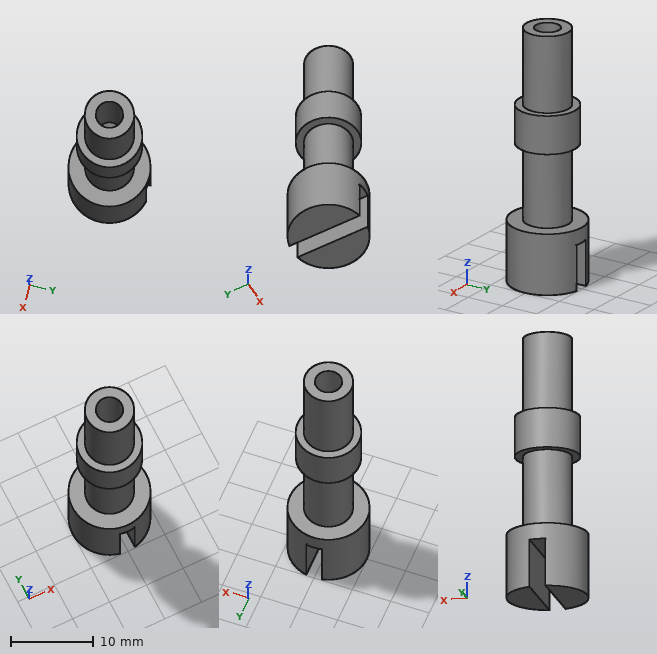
import cadquery as cq
import math

total_height = 33.0
head_diameter = 10.0
head_height = 8.0
shank_diameter = 6.0
collar_diameter = 8.0
collar_bottom = 18.0
collar_height = 5.0

slot_width = 2.0
slot_depth = 6.0

hole_diameter = 3.3
hole_depth = total_height - collar_bottom - collar_height
drill_point_angle = 118.0


def cylinder(diameter, bottom, height):
    """Solid cylinder on the Z axis, starting at the given height."""
    return cq.Workplane("XY").workplane(offset=bottom).circle(diameter / 2).extrude(height)


def drilled_hole():
    """Drill-shaped cutter: straight wall down from the top, then a conical point."""
    radius = hole_diameter / 2
    wall_bottom = total_height - hole_depth
    point_height = radius / math.tan(math.radians(drill_point_angle / 2))
    return (
        cq.Workplane("XZ")
        .moveTo(0, total_height)
        .lineTo(radius, total_height)
        .lineTo(radius, wall_bottom)
        .lineTo(0, wall_bottom - point_height)
        .close()
        .revolve(360, (0, 0, 0), (0, 1, 0))
    )


def driver_slot():
    """Cutter for the slot, open at the bottom and at both sides of the head."""
    return cq.Workplane("XY").rect(slot_width, 2 * head_diameter).extrude(slot_depth)


head = cylinder(head_diameter, 0, head_height)
shank = cylinder(shank_diameter, head_height, total_height - head_height)
collar = cylinder(collar_diameter, collar_bottom, collar_height)

result = head.union(shank).union(collar).cut(drilled_hole()).cut(driver_slot())